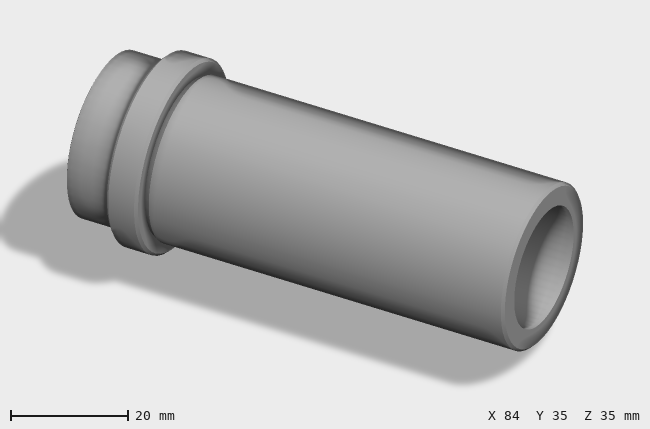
import cadquery as cq
import math

length = 84.0
bore_diameter = 22.0
body_diameter = 30.0
collar_diameter = 35.0

collar_start = 9.0
collar_width = 6.0
collar_chamfer = 0.5
groove_width = 1.0
groove_depth = 0.5
spigot_chamfer_length = 0.25
spigot_chamfer_depth = 0.5
bore_chamfer = 0.13
tail_chamfer = 0.5

bore_radius = bore_diameter / 2
body_radius = body_diameter / 2
collar_radius = collar_diameter / 2
groove_radius = body_radius - groove_depth
collar_end = collar_start + collar_width
spigot_end = collar_start - groove_width
tail_start = collar_end + groove_width


groove_arc_radius = (groove_width**2 + groove_depth**2) / (2 * groove_depth)
groove_arc_mid_angle = math.asin(groove_width / groove_arc_radius) / 2
groove_mid_offset = groove_arc_radius * math.sin(groove_arc_mid_angle)
groove_mid_radius = groove_radius + groove_arc_radius * (1 - math.cos(groove_arc_mid_angle))


def make_sleeve():
    """Revolve the half section, drawn as (axial position, radius), about X."""
    half_section = (
        cq.Workplane("XY")
        .moveTo(bore_chamfer, bore_radius)
        .lineTo(0, bore_radius + bore_chamfer)
        .lineTo(0, body_radius - spigot_chamfer_depth)
        .lineTo(spigot_chamfer_length, body_radius)
        .lineTo(spigot_end, body_radius)
        .threePointArc((collar_start - groove_mid_offset, groove_mid_radius), (collar_start, groove_radius))
        .lineTo(collar_start, collar_radius - collar_chamfer)
        .lineTo(collar_start + collar_chamfer, collar_radius)
        .lineTo(collar_end - collar_chamfer, collar_radius)
        .lineTo(collar_end, collar_radius - collar_chamfer)
        .lineTo(collar_end, groove_radius)
        .threePointArc((collar_end + groove_mid_offset, groove_mid_radius), (tail_start, body_radius))
        .lineTo(length - tail_chamfer, body_radius)
        .lineTo(length, body_radius - tail_chamfer)
        .lineTo(length, bore_radius)
        .close()
    )
    return half_section.revolve(360, (0, 0, 0), (1, 0, 0))


result = make_sleeve()